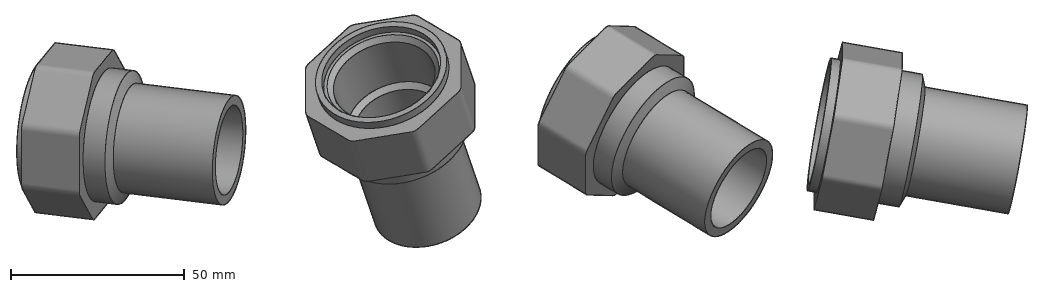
import cadquery as cq
import math

length = 58.0

across_flats = 46.0
nut_start = 2.6
nut_end = 20.05
corner_radius = 3.1

collar_diameter = 38.85
collar_end = 26.7
cone_end = 28.1
pipe_diameter = 31.85

mouth_diameter = 35.1
mouth_depth = 2.4
chamfer_diameter = 33.05
socket_diameter = 30.05
socket_end = 21.0
seat_length = 1.15
bore_diameter = 26.1


def revolve_profile(points):
    """Revolve (x, radius) points about the X axis."""
    return cq.Workplane("XY").polyline(points).close().revolve(360, (0, 0, 0), (1, 0, 0))


def make_outer_body():
    collar_radius = collar_diameter / 2
    pipe_radius = pipe_diameter / 2
    return revolve_profile([
        (0, 0),
        (0, collar_radius),
        (collar_end, collar_radius),
        (cone_end, pipe_radius),
        (length, pipe_radius),
        (length, 0),
    ])


def make_nut():
    """Octagonal prism with flats facing Y and Z and rounded corners."""
    sides = 8
    half_step = 180 / sides
    across_corners = across_flats / math.cos(math.radians(half_step))
    return (
        cq.Workplane("YZ", origin=(nut_start, 0, 0))
        .transformed(rotate=(0, 0, half_step))
        .polygon(sides, across_corners)
        .extrude(nut_end - nut_start)
        .edges("|X")
        .fillet(corner_radius)
    )


def make_bore():
    mouth_radius = mouth_diameter / 2
    chamfer_radius = chamfer_diameter / 2
    socket_radius = socket_diameter / 2
    bore_radius = bore_diameter / 2
    chamfer_end = mouth_depth + chamfer_radius - socket_radius
    return revolve_profile([
        (0, 0),
        (0, mouth_radius),
        (mouth_depth, mouth_radius),
        (mouth_depth, chamfer_radius),
        (chamfer_end, socket_radius),
        (socket_end, socket_radius),
        (socket_end + seat_length, bore_radius),
        (length, bore_radius),
        (length, 0),
    ])


result = make_outer_body().union(make_nut()).cut(make_bore())